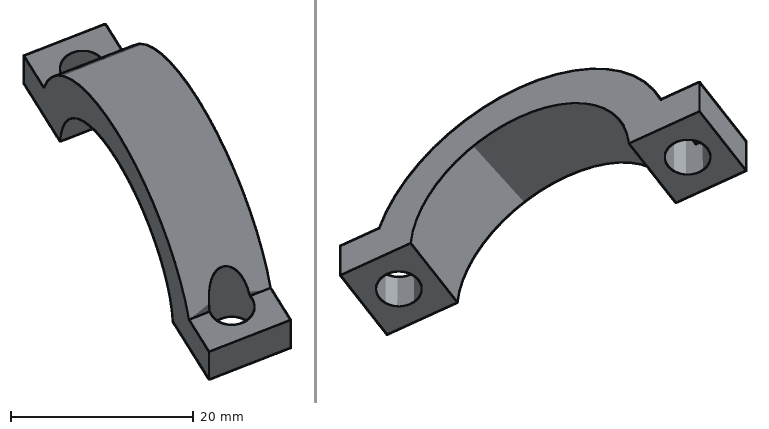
import cadquery as cq
import math

length = 45.96
width = 10.0
height = 17.93
bore_radius = 14.0
wall = 5.0
flange_thickness = 5.0
hole_diameter = 5.0

outer_radius = bore_radius + wall
axis_z = height - outer_radius
half_length = length / 2
bore_half_width = math.sqrt(bore_radius**2 - axis_z**2)
shoulder_x = math.sqrt(outer_radius**2 - (flange_thickness - axis_z) ** 2)
hole_x = (bore_half_width + half_length) / 2


def clamp_body():
    """Arched strap with a flat flange at each end, centred on Y = 0."""
    return (
        cq.Workplane("XZ")
        .moveTo(-half_length, 0)
        .lineTo(-half_length, flange_thickness)
        .lineTo(-shoulder_x, flange_thickness)
        .threePointArc((0, height), (shoulder_x, flange_thickness))
        .lineTo(half_length, flange_thickness)
        .lineTo(half_length, 0)
        .lineTo(bore_half_width, 0)
        .threePointArc((0, height - wall), (-bore_half_width, 0))
        .close()
        .extrude(width / 2, both=True)
    )


def screw_holes():
    """Vertical cutters that pass through both flanges and notch the arch."""
    return (
        cq.Workplane("XY")
        .pushPoints([(-hole_x, 0), (hole_x, 0)])
        .circle(hole_diameter / 2)
        .extrude(height)
    )


result = clamp_body().cut(screw_holes())